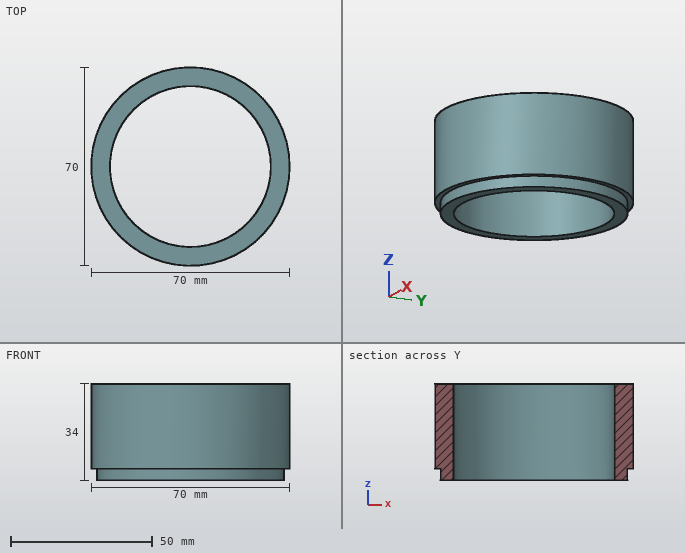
import cadquery as cq

outer_diameter = 70.0
bore_diameter = 56.6
spigot_diameter = 66.0
total_height = 34.0
spigot_height = 4.0

body_height = total_height - spigot_height


def ring(diameter, base_z, height):
    """Ring around the Z axis with the common bore, standing on base_z."""
    return (
        cq.Workplane("XY")
        .workplane(offset=base_z)
        .circle(diameter / 2)
        .circle(bore_diameter / 2)
        .extrude(height)
    )


spigot = ring(spigot_diameter, 0, spigot_height)
body = ring(outer_diameter, spigot_height, body_height)

result = body.union(spigot)